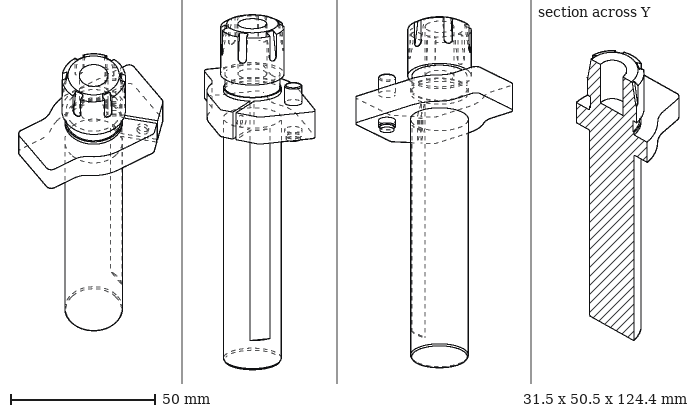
import cadquery as cq
import math

total_height = 124.4
shank_radius = 20.0 / 2
shank_top = 100.7
shank_chamfer_height = 0.6
shank_chamfer_width = 0.4
neck_radius = 19.0 / 2

flat_distance = 9.3
flat_bottom = 11.0
flat_top = 88.5

nut_radius = 22.0 / 2
nut_height = 18.5
nut_bottom = total_height - nut_height
nut_chamfer_width = 2.1
nut_chamfer_height = nut_chamfer_width * math.tan(math.radians(30))
bore_diameter = 10.0
bore_depth = nut_height

slot_count = 6
slot_start_angle = -5.0
slot_width = 3.0
slot_depth = 10.7
slot_floor_top = 9.2
slot_floor_bottom = 10.8

plate_half_width = 31.5 / 2
plate_back = 25.5
plate_front = plate_back - 50.5
plate_bottom = 89.5
plate_thickness = 10.0
tongue_half_width = 10.6
blend_radius = 8.0
corner_radius = 2.0
corner_cut = 10.8

slit_width = 1.2
slit_offset = 6.7
screw_diameter = 4.0
screw_x = 8.2
screw_length = 3.7

pin_x = -10.5
pin_y = 14.9
pin_diameter = 6.0
pin_tip_diameter = 5.0
pin_bottom = 86.1
pin_length = 19.9
pin_tip_length = 1.0
pin_chamfer = 0.4


def cylinder(radius, bottom, top):
    return cq.Workplane("XY").workplane(offset=bottom).circle(radius).extrude(top - bottom)


def make_shank():
    nut_shoulder = total_height - nut_chamfer_height
    profile = [
        (0, 0),
        (shank_radius - shank_chamfer_width, 0),
        (shank_radius, shank_chamfer_height),
        (shank_radius, shank_top),
        (neck_radius, shank_top),
        (neck_radius, nut_bottom),
        (nut_radius, nut_bottom),
        (nut_radius, nut_shoulder),
        (nut_radius - nut_chamfer_width, total_height),
        (0, total_height),
    ]
    body = cq.Workplane("XZ").polyline(profile).close().revolve(360, (0, 0, 0), (0, 1, 0))
    relief = cq.Workplane("XY").box(
        2 * shank_radius, shank_radius, flat_top - flat_bottom, centered=(True, False, False)
    )
    body = body.cut(relief.translate((0, flat_distance, flat_bottom)))
    return body.cut(cylinder(bore_diameter / 2, total_height - bore_depth, total_height))


def make_wrench_slot(angle):
    """Slot open at the top and rounded below, its flat floor sloping outward going down."""
    slot_bottom = total_height - slot_depth
    end_center = slot_bottom + slot_width / 2
    slot = (
        cq.Workplane("YZ")
        .moveTo(-slot_width / 2, total_height)
        .lineTo(-slot_width / 2, end_center)
        .threePointArc((0, slot_bottom), (slot_width / 2, end_center))
        .lineTo(slot_width / 2, total_height)
        .close()
        .extrude(nut_radius)
    )
    outside_floor = [
        (slot_floor_top, total_height),
        (slot_floor_bottom, slot_bottom),
        (nut_radius, slot_bottom),
        (nut_radius, total_height),
    ]
    wedge = cq.Workplane("XZ").polyline(outside_floor).close().extrude(slot_width, both=True)
    return slot.intersect(wedge).rotate((0, 0, 0), (0, 0, 1), angle)


def make_plate_blank():
    """Plate rounded about the shank axis, blending into a narrower front tongue."""
    blend_x = tongue_half_width + blend_radius
    center_distance = plate_half_width + blend_radius
    blend_y = -math.sqrt(center_distance**2 - blend_x**2)
    tangent_angle = math.atan2(blend_y, blend_x)
    tangent_x = plate_half_width * math.cos(tangent_angle)
    tangent_y = plate_half_width * math.sin(tangent_angle)
    large_mid_x = plate_half_width * math.cos(tangent_angle / 2)
    large_mid_y = plate_half_width * math.sin(tangent_angle / 2)
    blend_mid_x = blend_x - blend_radius * math.cos(tangent_angle / 2)
    blend_mid_y = blend_y - blend_radius * math.sin(tangent_angle / 2)

    blank = (
        cq.Workplane("XY")
        .workplane(offset=plate_bottom)
        .moveTo(plate_half_width, 0)
        .threePointArc((large_mid_x, large_mid_y), (tangent_x, tangent_y))
        .threePointArc((blend_mid_x, blend_mid_y), (tongue_half_width, blend_y))
        .lineTo(tongue_half_width, plate_front)
        .lineTo(-tongue_half_width, plate_front)
        .lineTo(-tongue_half_width, blend_y)
        .threePointArc((-blend_mid_x, blend_mid_y), (-tangent_x, tangent_y))
        .threePointArc((-large_mid_x, large_mid_y), (-plate_half_width, 0))
        .lineTo(-plate_half_width, plate_back)
        .lineTo(plate_half_width - corner_cut, plate_back)
        .lineTo(plate_half_width, plate_back - corner_cut)
        .close()
        .extrude(plate_thickness)
    )
    back_region = cq.selectors.BoxSelector(
        (-2 * plate_half_width, plate_back / 2, 0),
        (2 * plate_half_width, 2 * plate_back, total_height),
    )
    blank = blank.edges("|Z").edges(back_region).fillet(corner_radius)
    return blank.faces("<Y").edges("|Z").fillet(corner_radius)


def make_plate():
    slit_length = 2 * plate_back
    slit = (
        cq.Workplane("XY")
        .box(slit_length, slit_width, plate_thickness, centered=(False, True, False))
        .rotate((0, 0, 0), (0, 0, 1), 45)
        .translate((0, slit_offset, plate_bottom))
    )
    screw_center = (screw_x, screw_x + slit_offset, plate_bottom + plate_thickness / 2)
    screw = (
        cq.Workplane(cq.Plane(origin=screw_center, xDir=(0, 0, 1), normal=(1, -1, 0)))
        .circle(screw_diameter / 2)
        .extrude(screw_length / 2, both=True)
    )
    return make_plate_blank().cut(slit).union(screw)


def make_pin():
    shoulder = pin_bottom + pin_tip_length
    pin = cylinder(pin_diameter / 2, shoulder, pin_bottom + pin_length)
    pin = pin.faces("<Z or >Z").chamfer(pin_chamfer)
    tip = cylinder(pin_tip_diameter / 2, pin_bottom, shoulder)
    return pin.union(tip).translate((pin_x, pin_y, 0))


shank = make_shank()
for index in range(slot_count):
    shank = shank.cut(make_wrench_slot(slot_start_angle + index * 360 / slot_count))

result = shank.union(make_plate()).union(make_pin())